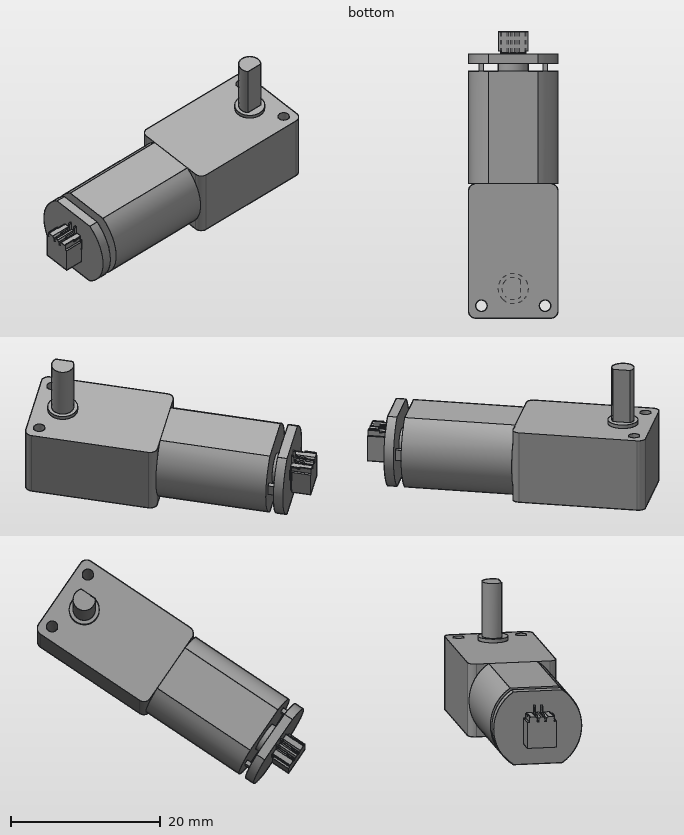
import cadquery as cq
import math


overall_length = 38.28
overall_height = 18.0
body_width = 12.0
body_height = 10.0
top_z = body_height / 2
bottom_z = -top_z

gearbox_length = 18.0
gearbox_corner_radius = 1.0
mount_hole_diameter = 1.5
mount_hole_spacing = 8.5
mount_hole_inset = 1.7

shaft_diameter = 3.0
shaft_flat_offset = 0.95
shaft_inset = 4.0
shaft_y = gearbox_length - shaft_inset
collar_diameter = 4.02
collar_height = 0.5
shaft_top_z = bottom_z + overall_height

can_length = 15.0
board_gap = 1.05
board_thickness = 1.3
rear_boss_diameter = 4.02
terminal_width = 0.6
terminal_height = 1.5
terminal_spacing = 8.55
can_rear_y = -can_length
board_front_y = can_rear_y - board_gap
board_rear_y = board_front_y - board_thickness

connector_depth = overall_length - gearbox_length + board_rear_y
connector_width = 4.0
connector_bottom_z = -2.15
shoulder_z = 1.4
shoulder_gap = 0.35
core_width = 3.18
core_gap = 0.1
core_top_z = 2.1

slit_pitch = 1.0
slit_width = 0.23
slit_flare = 0.23

contact_top_z = 3.05
contact_thickness = 0.35
contact_arm_depth = 1.72
contact_arm_z = 2.05
contact_bend_radius = 0.35
contact_tip_radius = 0.23

tab_thickness = 0.1
tab_top_z = 2.22
tab_low_z = 2.0
tab_gap = 0.23
tab_foot_bottom_z = -0.25
tab_step_depth = 1.38
tab_notch_width = 0.3
tab_notch_depth = 0.1
tab_chamfer = 0.1


def box_between(x_range, y_range, z_range):
    """Box spanning the given (low, high) ranges."""
    size = [high - low for low, high in (x_range, y_range, z_range)]
    corner = (x_range[0], y_range[0], z_range[0])
    return cq.Workplane("XY").box(*size, centered=False).translate(corner)


def centred_range(width):
    return (-width / 2, width / 2)


def rear_plane(y):
    """XZ plane at the given y, extruding toward -Y."""
    return cq.Workplane("XZ", origin=(0, y, 0))


def side_extrusion(outline, thickness, centre_x):
    """Extrude a Y-Z outline along X, centred on centre_x."""
    return outline.extrude(thickness / 2, both=True).translate((centre_x, 0, 0))


def make_gearbox_block():
    gearbox = box_between(centred_range(body_width), (0, gearbox_length), (bottom_z, top_z))
    gearbox = gearbox.edges("|Z").fillet(gearbox_corner_radius)
    hole_y = gearbox_length - mount_hole_inset
    holes = (
        cq.Workplane("XY", origin=(0, hole_y, bottom_z))
        .pushPoints([(-mount_hole_spacing / 2, 0), (mount_hole_spacing / 2, 0)])
        .circle(mount_hole_diameter / 2)
        .extrude(body_height)
    )
    return gearbox.cut(holes)


def make_output_shaft():
    """Round collar carrying a shaft with a flat on its +X side."""
    base = cq.Workplane("XY", origin=(0, shaft_y, top_z))
    collar = base.circle(collar_diameter / 2).extrude(collar_height)
    radius = shaft_diameter / 2
    flat_half = math.sqrt(radius**2 - shaft_flat_offset**2)
    shaft = (
        base.moveTo(shaft_flat_offset, -flat_half)
        .lineTo(shaft_flat_offset, flat_half)
        .threePointArc((-radius, 0), (shaft_flat_offset, -flat_half))
        .close()
        .extrude(shaft_top_z - top_z)
    )
    return collar.union(shaft)


def make_gearbox():
    return make_gearbox_block().union(make_output_shaft())


def make_flatted_disc(front_y, length):
    """Round motor profile with flats on top and bottom."""
    radius = body_width / 2
    flat_half = math.sqrt(radius**2 - top_z**2)
    return (
        rear_plane(front_y)
        .moveTo(-flat_half, bottom_z)
        .lineTo(flat_half, bottom_z)
        .threePointArc((radius, 0), (flat_half, top_z))
        .lineTo(-flat_half, top_z)
        .threePointArc((-radius, 0), (-flat_half, bottom_z))
        .close()
        .extrude(length)
    )


def make_board_supports():
    """Rear boss and the two terminals that carry the board."""
    boss = rear_plane(can_rear_y).circle(rear_boss_diameter / 2).extrude(board_gap)
    terminals = (
        rear_plane(can_rear_y)
        .pushPoints([(-terminal_spacing / 2, 0), (terminal_spacing / 2, 0)])
        .rect(terminal_width, terminal_height)
        .extrude(board_gap)
    )
    return boss.union(terminals)


def make_connector_housing():
    """Wide lower block with a narrower core standing above its shoulders."""
    rear_y = board_rear_y - connector_depth
    core = box_between(
        centred_range(core_width), (rear_y, board_rear_y - core_gap), (connector_bottom_z, core_top_z)
    )
    shoulders = box_between(
        centred_range(connector_width),
        (rear_y, board_rear_y - shoulder_gap),
        (connector_bottom_z, shoulder_z),
    )
    return core.union(shoulders)


def make_contact_slit(centre_x):
    """Narrow slit along the core, flared at 45 degrees at the top."""
    half = slit_width / 2
    flare_z = core_top_z - slit_flare
    outline = [
        (centre_x - half, shoulder_z),
        (centre_x + half, shoulder_z),
        (centre_x + half, flare_z),
        (centre_x + half + slit_flare, core_top_z),
        (centre_x - half - slit_flare, core_top_z),
        (centre_x - half, flare_z),
    ]
    return rear_plane(board_rear_y).polyline(outline).close().extrude(connector_depth)


def make_contact(centre_x):
    """L-shaped contact: a tail standing against the board and an arm along its slit."""
    tail_y = board_rear_y - contact_thickness
    arm_y = board_rear_y - contact_arm_depth
    outline = (
        cq.Workplane("YZ")
        .moveTo(board_rear_y, shoulder_z)
        .lineTo(board_rear_y, contact_top_z)
        .lineTo(tail_y + contact_tip_radius, contact_top_z)
        .radiusArc((tail_y, contact_top_z - contact_tip_radius), -contact_tip_radius)
        .lineTo(tail_y, contact_arm_z + contact_bend_radius)
        .radiusArc((tail_y - contact_bend_radius, contact_arm_z), contact_bend_radius)
        .lineTo(arm_y, contact_arm_z)
        .lineTo(arm_y, shoulder_z)
        .close()
    )
    return side_extrusion(outline, slit_width, centre_x)


def make_tab(centre_x):
    """Thin side plate set into a shoulder, stepped up at its outer end, with a foot on the board."""
    step_y = board_rear_y - tab_step_depth
    notch_y = step_y + tab_notch_width
    rear_y = board_rear_y - connector_depth
    outline = cq.Workplane("YZ").polyline([
        (board_rear_y, tab_foot_bottom_z),
        (board_rear_y, shoulder_z),
        (board_rear_y - tab_gap, shoulder_z),
        (board_rear_y - tab_gap, tab_low_z),
        (notch_y, tab_low_z),
        (notch_y, tab_low_z - tab_notch_depth),
        (step_y, tab_low_z - tab_notch_depth),
        (step_y, tab_top_z),
        (rear_y + tab_chamfer, tab_top_z),
        (rear_y, tab_top_z - tab_chamfer),
        (rear_y, tab_foot_bottom_z),
    ]).close()
    return side_extrusion(outline, tab_thickness, centre_x)


def make_connector():
    connector = make_connector_housing()
    for side in (-1, 1):
        contact_x = side * slit_pitch / 2
        tab_x = side * (core_width + tab_thickness) / 2
        connector = connector.cut(make_contact_slit(contact_x))
        connector = connector.union(make_contact(contact_x))
        connector = connector.union(make_tab(tab_x))
    return connector


def make_motor():
    return (
        make_flatted_disc(0, can_length)
        .union(make_board_supports())
        .union(make_flatted_disc(board_front_y, board_thickness))
        .union(make_connector())
    )


gearbox = make_gearbox()
motor = make_motor()

result = cq.Compound.makeCompound([*gearbox.solids().vals(), *motor.solids().vals()])